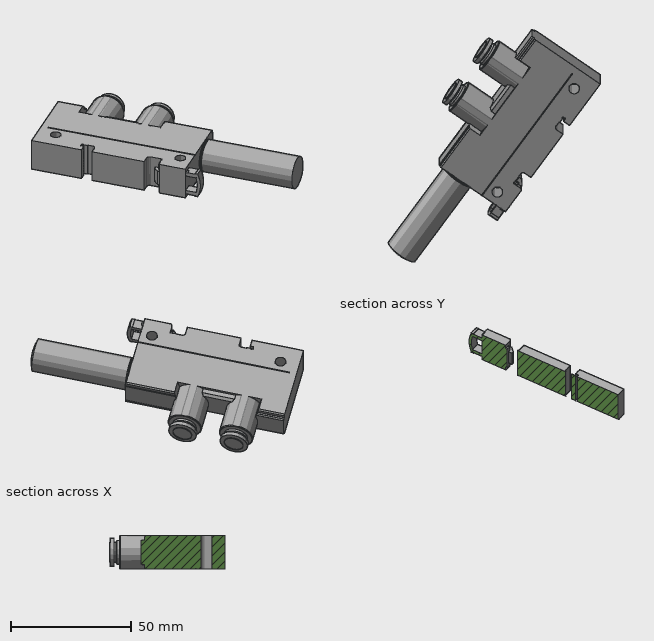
import cadquery as cq


total_length = 110.4
total_depth = 48.1
block_thickness = 14.0
block_length = 68.0
half_thickness = block_thickness / 2

shoulder_y = 33.6
shoulder_slope_y = 0.5
shoulder_slope_z = 0.5
tongue_half = 5.2
left_tongue_y = 35.0
left_tongue_slope_y = 0.7
left_tongue_slope_z = 0.3
right_tongue_y = 34.0

port_x = 18.2
port_pitch = 22.0
port_diameter = 14.4
port_top_y = 43.9
port_edge_chamfer = 0.3
pocket_left = 11.0
pocket_right = 47.1
pocket_y = 27.9
pocket_wall_draft = 1.0
pocket_wall_height = 3.4
ridge_y = 31.1
ridge_half = 6.0
ridge_slope_y = 1.2
ridge_slope_z = 0.7

ring_diameter = 10.0
ring_top_y = 45.5
ring_slope_y = 0.5
neck_diameter = 8.1
neck_flare = 0.3
cap_diameter = 11.8
cap_bottom_y = 46.1
cap_top_y = 47.8

tube_y = 24.0
tube_diameter = 13.8
tube_neck_diameter = 12.8
tube_collar_end = 68.3
tube_start = 68.9
tube_dome_height = 1.4

hole_diameter = 4.4
hole_y = 7.7
hole_xs = (8.0, 63.0)

groove_start = 3.1
groove_y = 12.1
groove_width = 0.3
groove_depth = 0.1

slot_depth = 4.4
slot_corner = 1.2
left_slot_left = 22.1
left_slot_right = 26.7
undercut_left = 20.6
undercut_bottom = 3.1
undercut_lip_x = 23.4
undercut_top = 4.1
undercut_relief_x = 21.3
right_slot_left = 49.8
right_slot_right = 56.1
right_slot_mouth = 0.5
right_slot_mouth_depth = 0.9

overlap = 1.1

clip_bottom = 0.3
clip_top = slot_depth
clip_half = 5.3
clip_bar_x = 55.3
clip_bar_bottom = 2.3
hook_tip_x = 53.5
hook_half = 3.2
hook_top = 3.4
hook_tip_bottom = 2.3
hook_root_x = 55.6
loop_flare_x = 72.2
loop_flare_half = 5.5
loop_arc_x = 73.3
loop_end = 74.5
window_half = 3.5
window_corner_x = 72.6
window_end = 73.1
rail_relief_end = 68.9
rail_relief = 0.2


def mirrored_section(half_points, start_x, length):
    """Prism along X; half_points are the (y, z) corners of its upper half."""
    lower = [(y, -z) for y, z in reversed(half_points)]
    return (
        cq.Workplane("YZ", origin=(start_x, 0, 0))
        .polyline(half_points + lower)
        .close()
        .extrude(length)
    )


def flat_plate(outline, half_height):
    """Plate centred on Z = 0 from an outline in X and Y."""
    return outline.extrude(half_height, both=True)


def make_block():
    shoulder = [
        (0, half_thickness),
        (shoulder_y - shoulder_slope_y, half_thickness),
        (shoulder_y, half_thickness - shoulder_slope_z),
        (shoulder_y, tongue_half),
    ]
    left_tongue = [
        (left_tongue_y - left_tongue_slope_y, tongue_half),
        (left_tongue_y, tongue_half - left_tongue_slope_z),
    ]
    right_tongue = [(right_tongue_y, tongue_half)]
    pocket_base = [(0, half_thickness), (pocket_y, half_thickness)]
    ridge = [
        (0, ridge_half),
        (ridge_y - ridge_slope_y, ridge_half),
        (ridge_y, ridge_half - ridge_slope_z),
    ]
    wall_left = pocket_left + pocket_wall_draft
    wall_right = pocket_right - pocket_wall_draft
    left = mirrored_section(shoulder + left_tongue, 0, wall_left)
    middle = mirrored_section(pocket_base, wall_left, wall_right - wall_left)
    middle = middle.union(mirrored_section(ridge, port_x, port_pitch))
    right = mirrored_section(shoulder + right_tongue, wall_right, block_length - wall_right)
    return left.union(middle).union(right)


def pocket_wall_cut(top_x, direction, side):
    """Wedge that slopes one side wall of the port pocket; side is +1 or -1 in Z."""
    corner_x = top_x + direction * pocket_wall_draft
    return (
        cq.Workplane("XZ", origin=(0, pocket_y, 0))
        .polyline([
            (top_x, side * half_thickness),
            (corner_x, side * half_thickness),
            (corner_x, side * (half_thickness - pocket_wall_height)),
        ])
        .close()
        .extrude(-(left_tongue_y - pocket_y))
    )


def make_port(center_x):
    radius = port_diameter / 2
    body = (
        cq.Workplane("XZ", origin=(center_x, pocket_y, 0))
        .circle(radius)
        .extrude(-(port_top_y - pocket_y))
        .faces(">Y")
        .chamfer(port_edge_chamfer)
    )
    flats = cq.Workplane("XY").box(port_diameter, total_depth, block_thickness)
    body = body.intersect(flats.translate((center_x, total_depth / 2, 0)))
    ring_radius = ring_diameter / 2
    neck_radius = neck_diameter / 2
    cap_radius = cap_diameter / 2
    collar = (
        cq.Workplane("XY", origin=(center_x, 0, 0))
        .polyline([
            (0, pocket_y),
            (ring_radius, pocket_y),
            (ring_radius, ring_top_y - ring_slope_y),
            (neck_radius, ring_top_y),
            (neck_radius + neck_flare, cap_bottom_y),
            (cap_radius, cap_bottom_y),
            (cap_radius, cap_top_y),
            (neck_radius, cap_top_y),
            (neck_radius, total_depth),
            (0, total_depth),
        ])
        .close()
        .revolve(360, (0, 0, 0), (0, 1, 0))
    )
    return body.union(collar)


def make_tube():
    radius = tube_diameter / 2
    neck_radius = tube_neck_diameter / 2
    dome_radius = (radius**2 + tube_dome_height**2) / (2 * tube_dome_height)
    dome_mid_r = radius / 2
    dome_mid_x = total_length - dome_radius + (dome_radius**2 - dome_mid_r**2) ** 0.5
    root_x = block_length - overlap
    return (
        cq.Workplane("XY", origin=(0, tube_y, 0))
        .moveTo(root_x, 0)
        .lineTo(root_x, radius)
        .lineTo(tube_collar_end, radius)
        .lineTo(tube_collar_end, neck_radius)
        .lineTo(tube_start, neck_radius)
        .lineTo(tube_start, radius)
        .lineTo(total_length - tube_dome_height, radius)
        .threePointArc((dome_mid_x, dome_mid_r), (total_length, 0))
        .close()
        .revolve(360, (0, 0, 0), (1, 0, 0))
    )


def make_left_slot():
    outline = (
        cq.Workplane("XY")
        .moveTo(left_slot_left, 0)
        .lineTo(left_slot_left, undercut_bottom)
        .lineTo(undercut_left, undercut_bottom)
        .lineTo(undercut_left, slot_depth)
        .lineTo(undercut_relief_x, slot_depth)
        .lineTo(undercut_relief_x, undercut_top)
        .lineTo(undercut_lip_x, undercut_top)
        .lineTo(undercut_lip_x, slot_depth)
        .lineTo(left_slot_right - slot_corner, slot_depth)
        .radiusArc((left_slot_right, slot_depth - slot_corner), slot_corner)
        .lineTo(left_slot_right, 0)
        .close()
    )
    return flat_plate(outline, half_thickness)


def make_right_slot():
    outline = (
        cq.Workplane("XY")
        .moveTo(right_slot_left, 0)
        .lineTo(right_slot_left, slot_depth - slot_corner)
        .radiusArc((right_slot_left + slot_corner, slot_depth), slot_corner)
        .lineTo(right_slot_right, slot_depth)
        .lineTo(right_slot_right, right_slot_mouth_depth)
        .lineTo(right_slot_right + right_slot_mouth, 0)
        .close()
    )
    return flat_plate(outline, half_thickness)


def make_groove(side):
    length = block_length - groove_start
    groove = cq.Workplane("XY").box(length, groove_width, 2 * groove_depth)
    return groove.translate((groove_start + length / 2, groove_y, side * half_thickness))


def make_hook():
    bar_width = block_length - clip_bar_x
    bar_height = clip_top - clip_bar_bottom
    bar = cq.Workplane("XY").box(bar_width, bar_height, 2 * clip_half, centered=(False, False, True))
    bar = bar.translate((clip_bar_x, clip_bar_bottom, 0))
    hook_back_x = right_slot_right + overlap
    outline = cq.Workplane("XY").polyline([
        (hook_tip_x, hook_top),
        (hook_tip_x, hook_tip_bottom),
        (hook_root_x, clip_bottom),
        (hook_back_x, clip_bottom),
        (hook_back_x, hook_top),
    ]).close()
    return bar.union(flat_plate(outline, hook_half))


def make_loop():
    """Pull loop of the clip, open through Y, with side rails relieved next to the block."""
    clip_width = clip_top - clip_bottom
    base = cq.Workplane("XZ", origin=(0, clip_bottom, 0))
    loop = (
        base.moveTo(block_length - overlap, -clip_half)
        .lineTo(loop_flare_x, -clip_half)
        .lineTo(loop_flare_x, -loop_flare_half)
        .lineTo(loop_arc_x, -loop_flare_half)
        .threePointArc((loop_end, 0), (loop_arc_x, loop_flare_half))
        .lineTo(loop_flare_x, loop_flare_half)
        .lineTo(loop_flare_x, clip_half)
        .lineTo(block_length - overlap, clip_half)
        .close()
        .extrude(-clip_width)
    )
    window = (
        base.moveTo(block_length, -window_half)
        .lineTo(window_corner_x, -window_half)
        .threePointArc((window_end, 0), (window_corner_x, window_half))
        .lineTo(block_length, window_half)
        .close()
        .extrude(-clip_width)
    )
    loop = loop.cut(window)
    relief_length = rail_relief_end - block_length
    relief_height = clip_bar_bottom - clip_bottom
    for side in (1, -1):
        relief = cq.Workplane("XY").box(relief_length, relief_height, 2 * rail_relief)
        loop = loop.cut(relief.translate((
            block_length + relief_length / 2,
            clip_bottom + relief_height / 2,
            side * clip_half,
        )))
    return loop


result = make_block()
for side in (1, -1):
    result = result.cut(pocket_wall_cut(pocket_left, 1, side))
    result = result.cut(pocket_wall_cut(pocket_right, -1, side))
    result = result.cut(make_groove(side))

for center_x in (port_x, port_x + port_pitch):
    result = result.union(make_port(center_x))

result = result.union(make_tube())
result = result.cut(make_left_slot()).cut(make_right_slot())
for hole_x in hole_xs:
    hole = cq.Workplane("XY").center(hole_x, hole_y).circle(hole_diameter / 2)
    result = result.cut(flat_plate(hole, half_thickness))

result = result.union(make_hook()).union(make_loop())